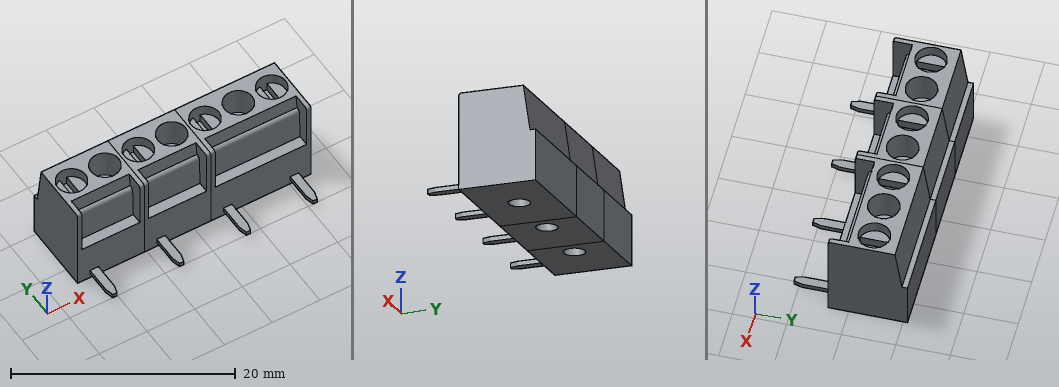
import cadquery as cq

total_length = 24.5
overall_depth = 10.8
position_count = 7
pitch = total_length / position_count
positions_per_housing = [2, 2, 3]

height = 9.1
depth = 7.3
rear_step_height = 4.8
slope_bottom_y = 6.79
slope_top_y = 6.15
front_top_radius = 0.3

wall_thickness = 0.47
recess_floor_z = 4.29
recess_floor_y = 1.1
ledge_z = 7.7
ledge_front_y = 1.2
ledge_radius = 0.42
recess_top_y = 1.8

opening_y = 3.82
opening_diameter = 2.9
wire_hole_diameter = 2.0
wire_counterbore_depth = 2.95
screw_recess_depth = 1.08
screw_slot_width = 0.74
screw_slot_depth = 0.85

pin_width = 0.88
pin_tip_width = 0.45
pin_thickness = 0.45
pin_length = overall_depth - depth
pin_taper_length = 0.8
pin_bottom_z = 0.51


def position_x(index):
    """Centre of one screw or wire position along the row."""
    return (index + 0.5) * pitch


def is_screw(index):
    """Screws sit at the even positions, wire holes at the odd ones."""
    return index % 2 == 0


def extrude_along_x(profile, start_x, length):
    """Extrude a closed (Y, Z) workplane profile from start_x toward +X."""
    return profile.extrude(length).translate((start_x, 0, 0))


def housing_block(start_x, length):
    """Solid block with the rear step, the rear slope and the rounded front top edge."""
    profile = (
        cq.Workplane("YZ")
        .moveTo(0, 0)
        .lineTo(depth, 0)
        .lineTo(depth, rear_step_height)
        .lineTo(slope_bottom_y, rear_step_height)
        .lineTo(slope_top_y, height)
        .lineTo(front_top_radius, height)
        .radiusArc((0, height - front_top_radius), -front_top_radius)
        .close()
    )
    return extrude_along_x(profile, start_x, length)


def front_recess(start_x, length):
    """Space cut from the front, leaving a rounded ledge part way up its back wall."""
    profile = (
        cq.Workplane("YZ")
        .moveTo(0, recess_floor_z)
        .lineTo(recess_floor_y, recess_floor_z)
        .lineTo(ledge_front_y, ledge_z - ledge_radius)
        .radiusArc((ledge_front_y + ledge_radius, ledge_z), ledge_radius)
        .lineTo(recess_top_y, height)
        .lineTo(0, height)
        .close()
    )
    return extrude_along_x(profile, start_x + wall_thickness, length - 2 * wall_thickness)


def cylinder_down(x, diameter, top_z, length):
    """Vertical cylinder on the line of openings, reaching down from top_z."""
    return (
        cq.Workplane("XY", origin=(x, opening_y, top_z))
        .circle(diameter / 2)
        .extrude(-length)
    )


def screw_opening(x):
    """Blind round recess with a screwdriver slot across its floor."""
    recess = cylinder_down(x, opening_diameter, height, screw_recess_depth)
    slot_top = height - screw_recess_depth
    slot_round = cylinder_down(x, opening_diameter, slot_top, screw_slot_depth)
    slot_strip = (
        cq.Workplane("XY", origin=(x, opening_y, slot_top))
        .rect(screw_slot_width, opening_diameter)
        .extrude(-screw_slot_depth)
    )
    return recess.union(slot_round.intersect(slot_strip))


def wire_opening(x):
    """Counterbored hole through the full height."""
    counterbore = cylinder_down(x, opening_diameter, height, wire_counterbore_depth)
    return counterbore.union(cylinder_down(x, wire_hole_diameter, height, height))


def make_housing(first_position, count):
    """One housing that covers a run of neighbouring positions."""
    start_x = first_position * pitch
    length = count * pitch
    housing = housing_block(start_x, length).cut(front_recess(start_x, length))
    for index in range(first_position, first_position + count):
        x = position_x(index)
        opening = screw_opening(x) if is_screw(index) else wire_opening(x)
        housing = housing.cut(opening)
    return housing


def make_pin(x):
    """Flat pin with a tapered tip, standing out from the front face."""
    taper_start_y = -(pin_length - pin_taper_length)
    return (
        cq.Workplane("XY", origin=(x, 0, pin_bottom_z))
        .moveTo(-pin_width / 2, 0)
        .lineTo(-pin_width / 2, taper_start_y)
        .lineTo(-pin_tip_width / 2, -pin_length)
        .lineTo(pin_tip_width / 2, -pin_length)
        .lineTo(pin_width / 2, taper_start_y)
        .lineTo(pin_width / 2, 0)
        .close()
        .extrude(pin_thickness)
    )


housings = []
next_position = 0
for count in positions_per_housing:
    housings.append(make_housing(next_position, count).val())
    next_position += count

pins = [make_pin(position_x(index)).val() for index in range(position_count) if is_screw(index)]

result = cq.Compound.makeCompound([*housings, *pins])